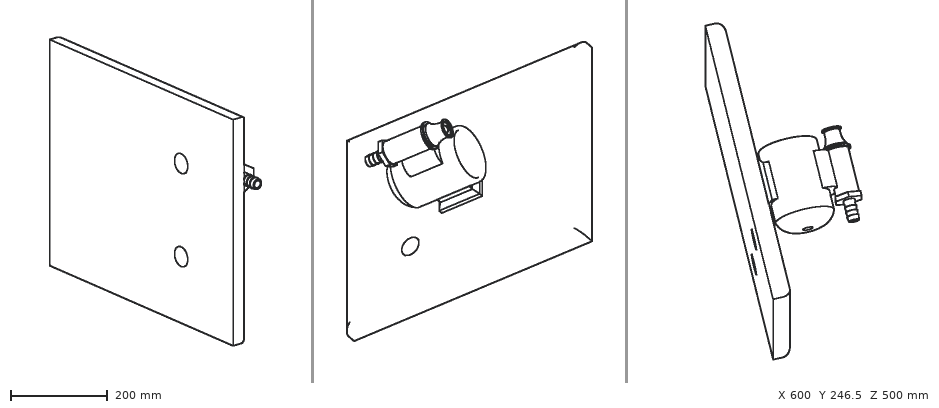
import cadquery as cq
import math

PLATE_LENGTH = 600.0
PLATE_HEIGHT = 500.0
PLATE_THICKNESS = 40.0
PLATE_EDGE_RADIUS = PLATE_THICKNESS / 2
PLATE_HOLE_DIAMETER = 43.0
PLATE_HOLE_X = 130.0
PLATE_HOLE_SPACING = 206.0

FOOT_WIDTH = 102.0
BLOCK_WIDTH = 81.0
FOOT_BASE_HEIGHT = 9.5
FOOT_BEVEL_HEIGHT = (FOOT_WIDTH - BLOCK_WIDTH) / 2

HOUSING_AXIS_Y = 120.0
HOUSING_RADIUS = 62.5
HOUSING_WALL = 9.5
HOUSING_RIM_X = -75.0
RIM_BASE_X = HOUSING_RIM_X + HOUSING_WALL / 2
HOUSING_DOME_X = 81.0
DOME_ARC_RADIUS = 40.0
DOME_FLAT_RADIUS = 24.5
DOME_CENTRE_X = HOUSING_DOME_X - math.sqrt(
    DOME_ARC_RADIUS**2 - (HOUSING_RADIUS - DOME_FLAT_RADIUS) ** 2
)
HOUSING_HOLE_RADIUS = 10.0

SADDLE_CORNER_RADIUS = 30.0
SADDLE_TOP_Y = 200.0

PUMP_AXIS_Y = 216.5
PUMP_BORE_RADIUS = 8.0
TUBE_RADIUS = 25.0
COLLAR_RADIUS = 30.0
COLLAR_LENGTH = 4.0
COLLAR_END_X = -BLOCK_WIDTH / 2
LIP_RADIUS = 20.5
LIP_LENGTH = 2.0
MOUTH_X = -87.0
MOUTH_RECESS_RADIUS = 15.5
MOUTH_RECESS_DEPTH = 4.0
NECK_RADIUS = 17.0
NECK_END_X = -73.0
FLARE_END_X = -49.0
NUT_START_X = 58.0
NUT_LENGTH = 11.0
NUT_ACROSS_FLATS = 54.0
BARB_ROOT_LENGTH = 14.0
BARB_LENGTH = 10.0
BARB_COUNT = 3
BARB_LARGE_RADIUS = 12.5
BARB_SMALL_RADIUS = 11.0


def revolve_about_x(profile, axis_y):
    """Revolve a closed (x, radius) profile about the line Y = axis_y, Z = 0."""
    return profile.close().revolve(360, (0, 0, 0), (1, 0, 0)).translate((0, axis_y, 0))


def x_cylinder(radius, start_x, end_x, axis_y):
    return (
        cq.Workplane("YZ", origin=(start_x, axis_y, 0))
        .circle(radius)
        .extrude(end_x - start_x)
    )


def make_plate():
    plate = cq.Workplane("XY").box(
        PLATE_LENGTH, PLATE_THICKNESS, PLATE_HEIGHT, centered=(True, False, True)
    )
    plate = plate.faces(">Y").edges().fillet(PLATE_EDGE_RADIUS)
    for side in (-1, 1):
        hole_origin = (PLATE_HOLE_X, PLATE_THICKNESS, side * PLATE_HOLE_SPACING / 2)
        hole = cq.Workplane("XZ", origin=hole_origin).circle(PLATE_HOLE_DIAMETER / 2)
        plate = plate.cut(hole.extrude(PLATE_THICKNESS))
    return plate


def make_foot():
    bevel_start_y = PLATE_THICKNESS + FOOT_BASE_HEIGHT
    neck_start_y = bevel_start_y + FOOT_BEVEL_HEIGHT
    base = cq.Workplane("XZ", origin=(0, PLATE_THICKNESS, 0)).rect(FOOT_WIDTH, FOOT_WIDTH)
    base = base.extrude(-FOOT_BASE_HEIGHT)
    bevel = (
        cq.Workplane("XZ", origin=(0, bevel_start_y, 0))
        .rect(FOOT_WIDTH, FOOT_WIDTH)
        .workplane(offset=-FOOT_BEVEL_HEIGHT)
        .rect(BLOCK_WIDTH, BLOCK_WIDTH)
        .loft(ruled=True)
    )
    neck = cq.Workplane("XZ", origin=(0, neck_start_y, 0)).rect(BLOCK_WIDTH, BLOCK_WIDTH)
    neck = neck.extrude(neck_start_y - HOUSING_AXIS_Y)
    return base.union(bevel).union(neck)


def make_saddle():
    saddle = cq.Workplane("XY", origin=(0, HOUSING_AXIS_Y, 0)).box(
        BLOCK_WIDTH, SADDLE_TOP_Y - HOUSING_AXIS_Y, BLOCK_WIDTH, centered=(True, False, True)
    )
    return saddle.faces(">Y").edges("|X").fillet(SADDLE_CORNER_RADIUS)


def dome_arc(outer_radius, arc_radius):
    """Start, middle and end (x, radius) of a dome arc that ends square to the axis."""
    rise = outer_radius - DOME_FLAT_RADIUS
    start_angle = math.asin(rise / arc_radius)
    return [
        (
            DOME_CENTRE_X + arc_radius * math.cos(angle),
            DOME_FLAT_RADIUS + arc_radius * math.sin(angle),
        )
        for angle in (start_angle, start_angle / 2, 0)
    ]


def revolve_domed_cylinder(outer_radius, arc_radius):
    """Solid cylinder from the base of the rim to the dome, dome included."""
    start, middle, end = dome_arc(outer_radius, arc_radius)
    profile = (
        cq.Workplane("XY")
        .moveTo(RIM_BASE_X, 0)
        .lineTo(RIM_BASE_X, outer_radius)
        .lineTo(*start)
        .threePointArc(middle, end)
        .lineTo(end[0], 0)
    )
    return revolve_about_x(profile, HOUSING_AXIS_Y)


def make_housing_rim():
    """Half-round ring that closes the open end of the housing wall."""
    profile = (
        cq.Workplane("XY")
        .moveTo(RIM_BASE_X, HOUSING_RADIUS)
        .threePointArc(
            (HOUSING_RIM_X, HOUSING_RADIUS - HOUSING_WALL / 2),
            (RIM_BASE_X, HOUSING_RADIUS - HOUSING_WALL),
        )
    )
    return revolve_about_x(profile, HOUSING_AXIS_Y)


def make_pump_tube():
    """Mouth lip, neck, flare, collar and main tube as one revolved shape."""
    flare_length = FLARE_END_X - NECK_END_X
    flare_rise = TUBE_RADIUS - NECK_RADIUS
    flare_radius = (flare_length**2 + flare_rise**2) / (2 * flare_rise)
    lip_end_x = MOUTH_X + LIP_LENGTH
    collar_start_x = COLLAR_END_X - COLLAR_LENGTH
    profile = (
        cq.Workplane("XY")
        .moveTo(MOUTH_X, 0)
        .lineTo(MOUTH_X, LIP_RADIUS)
        .lineTo(lip_end_x, LIP_RADIUS)
        .lineTo(lip_end_x, NECK_RADIUS)
        .lineTo(NECK_END_X, NECK_RADIUS)
        .radiusArc((FLARE_END_X, TUBE_RADIUS), -flare_radius)
        .lineTo(collar_start_x, TUBE_RADIUS)
        .lineTo(collar_start_x, COLLAR_RADIUS)
        .lineTo(COLLAR_END_X, COLLAR_RADIUS)
        .lineTo(COLLAR_END_X, TUBE_RADIUS)
        .lineTo(NUT_START_X, TUBE_RADIUS)
        .lineTo(NUT_START_X, 0)
    )
    return revolve_about_x(profile, PUMP_AXIS_Y)


def make_nut():
    """Hexagon with one corner pointing to +Z."""
    across_corners = NUT_ACROSS_FLATS / math.cos(math.pi / 6)
    return (
        cq.Workplane("YZ", origin=(NUT_START_X, PUMP_AXIS_Y, 0))
        .transformed(rotate=(0, 0, 90))
        .polygon(6, across_corners)
        .extrude(NUT_LENGTH)
    )


def make_hose_barb():
    """Root section and barbs, each tapering towards +X."""
    x = NUT_START_X + NUT_LENGTH
    profile = cq.Workplane("XY").moveTo(x, 0)
    for length in [BARB_ROOT_LENGTH] + [BARB_LENGTH] * BARB_COUNT:
        profile = profile.lineTo(x, BARB_LARGE_RADIUS)
        x += length
        profile = profile.lineTo(x, BARB_SMALL_RADIUS)
    return revolve_about_x(profile.lineTo(x, 0), PUMP_AXIS_Y)


def make_pump():
    barb_end_x = NUT_START_X + NUT_LENGTH + BARB_ROOT_LENGTH + BARB_COUNT * BARB_LENGTH
    dome_end_x = DOME_CENTRE_X + DOME_ARC_RADIUS
    envelope = revolve_domed_cylinder(HOUSING_RADIUS, DOME_ARC_RADIUS)
    cavity = revolve_domed_cylinder(HOUSING_RADIUS - HOUSING_WALL, DOME_ARC_RADIUS - HOUSING_WALL)
    pump = envelope.union(make_foot()).union(make_saddle())
    pump = pump.union(make_pump_tube()).union(make_nut()).union(make_hose_barb())
    pump = pump.cut(cavity).union(make_housing_rim())
    pump = pump.cut(x_cylinder(HOUSING_HOLE_RADIUS, HOUSING_RIM_X, dome_end_x, HOUSING_AXIS_Y))
    pump = pump.cut(x_cylinder(PUMP_BORE_RADIUS, MOUTH_X, barb_end_x, PUMP_AXIS_Y))
    recess_end_x = MOUTH_X + MOUTH_RECESS_DEPTH
    return pump.cut(x_cylinder(MOUTH_RECESS_RADIUS, MOUTH_X, recess_end_x, PUMP_AXIS_Y))


plate = make_plate()
pump = make_pump()
result = cq.Compound.makeCompound([plate.val(), pump.val()])